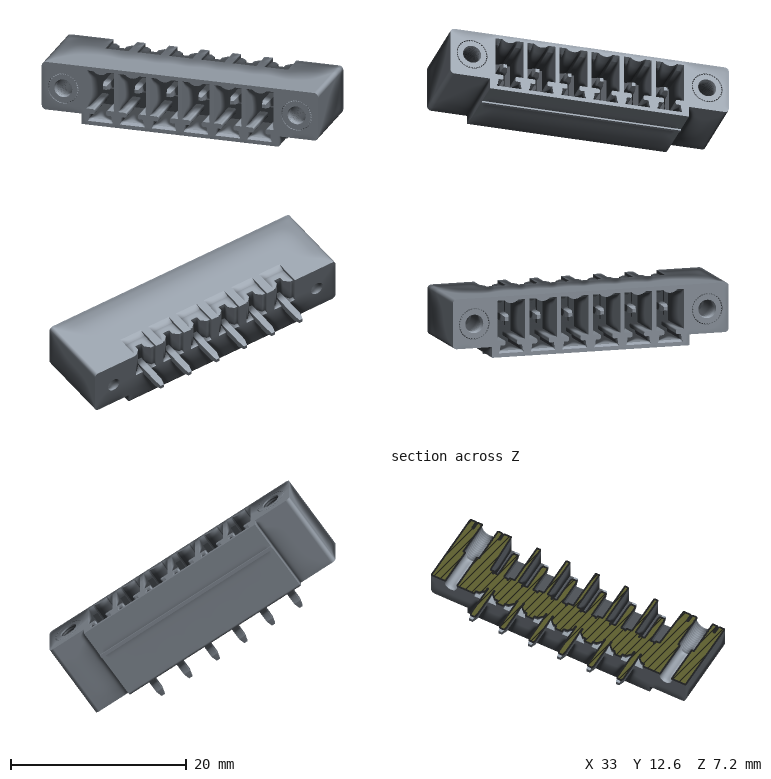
import cadquery as cq
import math


body_width = 33.05
body_depth = 9.25
flange_height = 5.8
corner_radius = 0.5
base_width = 23.6
base_front_height = 7.05
base_back_height = 6.95
base_back_radius = 0.33
rail_bottom = 7.2
rail_center_y = 3.37
rail_width = 0.4

pin_count = 6
pin_row_length = 19.05
pin_size = 0.8
pin_tip_size = 0.43
pin_z = -2.97
pin_front_y = 1.6
pin_back_y = 12.6
pin_tip_length = 0.8
pin_pitch = pin_row_length / (pin_count - 1)
pin_positions = [i * pin_pitch - pin_row_length / 2 for i in range(pin_count)]

pocket_half_width = 1.65
pocket_depth = 5.3
pocket_floor_z = -5.1
ceiling_front_z = -0.45
ceiling_back_z = -0.85
ceiling_slope_length = 0.83
end_wall_taper = 0.2
key_half_width = 0.83
key_drop = 0.35
recess_width = 1.98
recess_floor_z = -4.45
recess_depth = 0.4
collar_height = 0.2

neck_half_width = 0.7
lip_radius = 0.2
dovetail_top_z = -5.7
dovetail_top_half_width = 1.3
dovetail_floor_z = -6.38
dovetail_floor_half_width = 1.4
lead_in_drop = 0.2
lead_in_length = 0.5
lead_in_flare = 0.05

notch_width = 2.8
notch_start_y = 6.15
notch_ramp_length = 0.73
notch_floor_z = -0.33
pin_slot_start_y = 7.7
pin_slot_half_width = 0.43
vee_start_y = 8.3
vee_half_width = 1.0
ledge_start_y = vee_start_y + vee_half_width - pin_slot_half_width
ledge_back_z = -3.15
ledge_front_z = -2.65

insert_x = 13.95
insert_z = -2.97
insert_diameter = 3.65
knurl_count = 36
knurl_depth = 0.15
knurl_length = 1.0
thread_major_diameter = 2.15
thread_minor_diameter = 2.0
thread_pitch = 0.3
thread_turns = 15
through_hole_diameter = 1.6


def front_plane(y):
    """Sketch plane at depth y, with local axes +X and +Z; extrudes toward +Y when negative."""
    return cq.Workplane("XZ", origin=(0, y, 0))


def make_housing():
    flange = (
        front_plane(0)
        .center(0, -flange_height / 2)
        .rect(body_width, flange_height)
        .extrude(-body_depth)
        .edges("|Y")
        .fillet(corner_radius)
    )
    base = (
        cq.Workplane("YZ")
        .polyline([
            (0, 0),
            (0, -base_front_height),
            (body_depth, -base_back_height),
            (body_depth, 0),
        ])
        .close()
        .extrude(base_width / 2, both=True)
        .faces(">Y")
        .edges("<Z")
        .fillet(base_back_radius)
    )
    rail_height = rail_bottom - base_back_height
    rail = cq.Workplane("XY").box(base_width, rail_width, rail_height).translate(
        (0, rail_center_y, rail_height / 2 - rail_bottom)
    )
    return flange.union(base).union(rail)


def make_pocket(left_taper, right_taper):
    """Pocket around one pin; the tapers narrow it toward the back on either side."""
    plan = (
        cq.Workplane("XY")
        .polyline([
            (-pocket_half_width, 0),
            (pocket_half_width, 0),
            (pocket_half_width - right_taper, pocket_depth),
            (-pocket_half_width + left_taper, pocket_depth),
        ])
        .close()
        .extrude(pocket_floor_z)
    )
    side = (
        cq.Workplane("YZ")
        .polyline([
            (0, pocket_floor_z),
            (0, ceiling_front_z),
            (ceiling_slope_length, ceiling_back_z),
            (pocket_depth, ceiling_back_z),
            (pocket_depth, pocket_floor_z),
        ])
        .close()
        .extrude(pocket_half_width, both=True)
    )
    recess_height = ceiling_front_z - recess_floor_z
    recess = (
        front_plane(0)
        .center(0, ceiling_front_z - recess_height / 2)
        .rect(recess_width, recess_height)
        .extrude(-pocket_depth - recess_depth)
    )
    collar = (
        front_plane(pocket_depth + recess_depth - collar_height)
        .center(0, pin_z)
        .circle(recess_width / 2)
        .extrude(-collar_height)
    )
    key = (
        front_plane(0)
        .moveTo(-key_half_width, ceiling_front_z)
        .threePointArc((0, ceiling_front_z - key_drop), (key_half_width, ceiling_front_z))
        .close()
        .extrude(-pocket_depth)
    )
    return plan.intersect(side).union(recess).cut(collar).cut(key).union(make_dovetail_slot())


def make_dovetail_slot():
    neck = (
        front_plane(0)
        .moveTo(-neck_half_width - lip_radius, pocket_floor_z)
        .radiusArc((-neck_half_width, pocket_floor_z - lip_radius), lip_radius)
        .lineTo(-neck_half_width, dovetail_top_z + lip_radius)
        .radiusArc((-neck_half_width - lip_radius, dovetail_top_z), lip_radius)
        .lineTo(neck_half_width + lip_radius, dovetail_top_z)
        .radiusArc((neck_half_width, dovetail_top_z + lip_radius), lip_radius)
        .lineTo(neck_half_width, pocket_floor_z - lip_radius)
        .radiusArc((neck_half_width + lip_radius, pocket_floor_z), lip_radius)
        .close()
        .extrude(-pocket_depth)
    )
    dovetail = (
        front_plane(0)
        .polyline([
            (-dovetail_top_half_width, dovetail_top_z),
            (dovetail_top_half_width, dovetail_top_z),
            (dovetail_floor_half_width, dovetail_floor_z),
            (-dovetail_floor_half_width, dovetail_floor_z),
        ])
        .close()
        .extrude(-pocket_depth)
    )
    lead_in = (
        cq.Workplane("YZ")
        .polyline([
            (0, dovetail_floor_z),
            (0, dovetail_floor_z - lead_in_drop),
            (lead_in_length, dovetail_floor_z),
        ])
        .close()
        .extrude(dovetail_floor_half_width + lead_in_flare, both=True)
    )
    return neck.union(dovetail).union(lead_in)


def make_notch():
    """Ramped shelf in the top back edge, with an opening down to the pin behind it."""
    shelf = (
        cq.Workplane("YZ")
        .polyline([
            (notch_start_y, 0),
            (notch_start_y + notch_ramp_length, notch_floor_z),
            (body_depth, notch_floor_z),
            (body_depth, 0),
        ])
        .close()
        .extrude(notch_width / 2, both=True)
    )
    right_side = [
        (pin_slot_half_width, pin_slot_start_y),
        (pin_slot_half_width, vee_start_y),
        (vee_half_width, ledge_start_y),
        (notch_width / 2, ledge_start_y),
        (notch_width / 2, body_depth),
    ]
    left_side = [(-x, y) for x, y in reversed(right_side)]
    opening = cq.Workplane("XY").polyline(right_side + left_side).close().extrude(ledge_back_z)
    above_ledge = (
        cq.Workplane("YZ")
        .polyline([
            (pin_slot_start_y, 0),
            (pin_slot_start_y, ledge_front_z),
            (body_depth, ledge_back_z),
            (body_depth, 0),
        ])
        .close()
        .extrude(notch_width / 2, both=True)
    )
    return shelf.union(opening.intersect(above_ledge))


def make_pin():
    def tip(end_y, root_y):
        return (
            front_plane(end_y)
            .center(0, pin_z)
            .rect(pin_tip_size, pin_tip_size)
            .workplane(offset=end_y - root_y)
            .rect(pin_size, pin_size)
            .loft(ruled=True)
        )

    shank_start = pin_front_y + pin_tip_length
    shank_end = pin_back_y - pin_tip_length
    shank = (
        front_plane(shank_start)
        .center(0, pin_z)
        .rect(pin_size, pin_size)
        .extrude(shank_start - shank_end)
    )
    return shank.union(tip(pin_front_y, shank_start)).union(tip(pin_back_y, shank_end))


def make_threaded_bore():
    """Bore with ring grooves in place of a helical thread, ending in a smaller through hole."""
    profile = [(0, 0)]
    for turn in range(thread_turns):
        profile.append((thread_major_diameter / 2, turn * thread_pitch))
        profile.append((thread_minor_diameter / 2, (turn + 0.5) * thread_pitch))
    thread_length = thread_turns * thread_pitch
    profile.append((thread_major_diameter / 2, thread_length))
    profile.append((0, thread_length))
    thread = cq.Workplane("XY").polyline(profile).close().revolve(360, (0, 0, 0), (0, 1, 0))
    through_hole = front_plane(0).circle(through_hole_diameter / 2).extrude(-body_depth)
    return thread.union(through_hole)


def make_knurl_gaps():
    """Gaps between the knurled insert and the round hole around it."""
    radius = insert_diameter / 2
    tooth_angle = 2 * math.pi / knurl_count
    outline = []
    for tooth in range(knurl_count):
        for step, r in ((0, radius - knurl_depth), (0.5, radius)):
            angle = (tooth + step) * tooth_angle
            outline.append((r * math.cos(angle), r * math.sin(angle)))
    insert = front_plane(0).polyline(outline).close().extrude(-knurl_length)
    return front_plane(0).circle(radius).extrude(-knurl_length).cut(insert)


result = make_housing()

notch = make_notch()
for index, x in enumerate(pin_positions):
    left_taper = end_wall_taper if index == 0 else 0
    right_taper = end_wall_taper if index == pin_count - 1 else 0
    pocket = make_pocket(left_taper, right_taper)
    result = result.cut(pocket.translate((x, 0, 0))).cut(notch.translate((x, 0, 0)))

pin = make_pin()
for x in pin_positions:
    result = result.union(pin.translate((x, 0, 0)))

insert_cut = make_threaded_bore().union(make_knurl_gaps())
for x in (-insert_x, insert_x):
    result = result.cut(insert_cut.translate((x, 0, insert_z)))